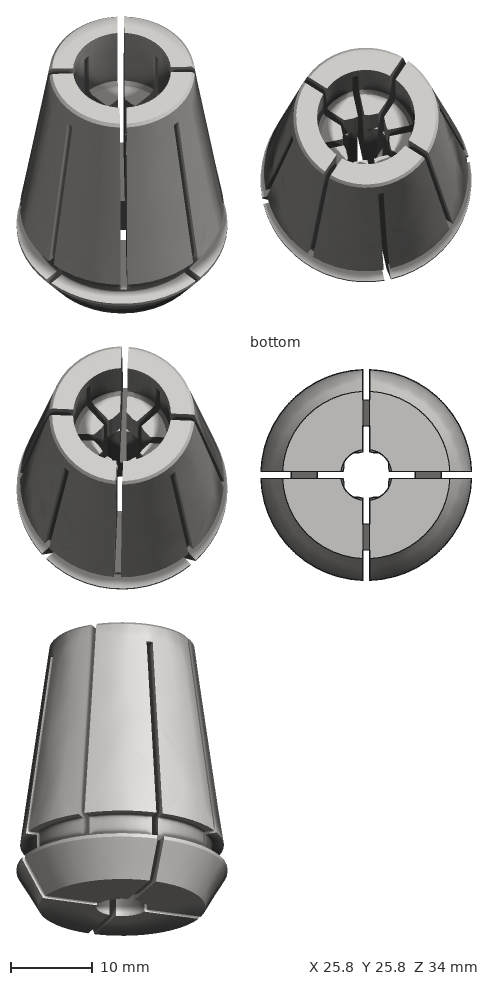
import cadquery as cq
import math

height = 34.0
flange_diameter = 25.8
flange_radius = flange_diameter / 2

nose_radius = 10.25
rim_bottom_z = 4.55
rim_top_z = 5.0

groove_radius = 11.0
groove_fillet = 0.2
groove_top_z = 8.1

cone_half_angle = 8.0
cone_base_radius = 12.48
top_chamfer = 0.35
cone_height = height - top_chamfer - groove_top_z
cone_top_radius = cone_base_radius - cone_height * math.tan(math.radians(cone_half_angle))

shank_radius = 3.13
shank_depth = 18.02
square_width = 5.4
square_relief_radius = 2.85
ledge_z = 24.48
clearance_radius = 6.0
ledge_chamfer = 0.48

slit_count = 4
slit_width = 0.8
lower_slit_top_z = 31.5
upper_slit_floor_z = 5.47


def collet_body():
    """Outer shape: nose cone, flange rim, filleted groove and clamping cone."""
    fillet_radius = groove_radius + groove_fillet
    corner_offset = groove_fillet * (1 - math.sqrt(0.5))
    corner_radius = groove_radius + corner_offset
    return (
        cq.Workplane("XZ")
        .moveTo(0, 0)
        .lineTo(nose_radius, 0)
        .lineTo(flange_radius, rim_bottom_z)
        .lineTo(flange_radius, rim_top_z)
        .lineTo(fillet_radius, rim_top_z)
        .threePointArc(
            (corner_radius, rim_top_z + corner_offset),
            (groove_radius, rim_top_z + groove_fillet),
        )
        .lineTo(groove_radius, groove_top_z - groove_fillet)
        .threePointArc(
            (corner_radius, groove_top_z - corner_offset),
            (fillet_radius, groove_top_z),
        )
        .lineTo(cone_base_radius, groove_top_z)
        .lineTo(cone_top_radius, height - top_chamfer)
        .lineTo(cone_top_radius - top_chamfer, height)
        .lineTo(0, height)
        .close()
        .revolve(360, (0, 0, 0), (0, 1, 0))
    )


def stepped_bore():
    """Shank hole, square drive with relieved flats, and clearance bore with a chamfered ledge."""
    square_height = ledge_z - shank_depth
    shank_hole = cq.Workplane("XY").circle(shank_radius).extrude(shank_depth)
    square_plane = cq.Workplane("XY").workplane(offset=shank_depth)
    square_hole = square_plane.rect(square_width, square_width).extrude(square_height)
    square_relief = square_plane.circle(square_relief_radius).extrude(square_height)
    clearance = (
        cq.Workplane("XY")
        .workplane(offset=ledge_z)
        .circle(clearance_radius)
        .extrude(height - ledge_z)
        .faces("<Z")
        .chamfer(ledge_chamfer)
    )
    return shank_hole.union(square_hole).union(square_relief).union(clearance)


def slit(angle, bottom_z, top_z):
    """Radial cut from the axis outwards at the given angle."""
    return (
        cq.Workplane("XY")
        .workplane(offset=bottom_z)
        .center(flange_radius / 2, 0)
        .rect(flange_radius, slit_width)
        .extrude(top_z - bottom_z)
        .rotate((0, 0, 0), (0, 0, 1), angle)
    )


result = collet_body().cut(stepped_bore())

slit_pitch = 360 / slit_count
for index in range(slit_count):
    lower_angle = index * slit_pitch
    result = result.cut(slit(lower_angle, 0, lower_slit_top_z))
    result = result.cut(slit(lower_angle + slit_pitch / 2, upper_slit_floor_z, height))